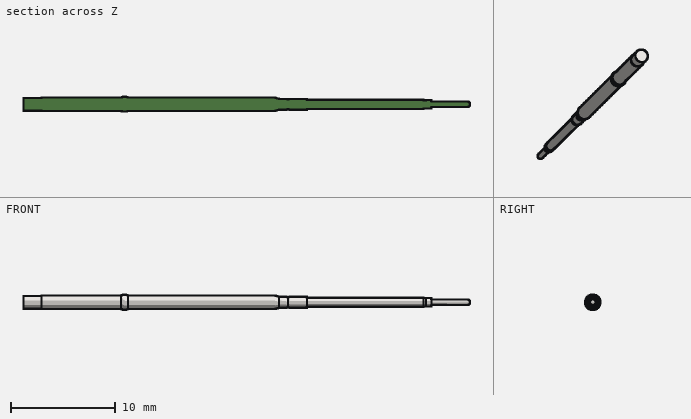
import cadquery as cq

TAIL_END = 1.75
RING_START = 9.40
RING_END = 10.06
BARREL_CHAMFER_START = 24.18
BARREL_END = 24.56
GROOVE_START = 25.28
GROOVE_END = 25.58
SLEEVE_END = 27.25
SHAFT_END = 38.46
COLLAR_START = 38.70
COLLAR_END = 39.20
OVERALL_LENGTH = 42.93

TAIL_DIAMETER = 1.25
BARREL_DIAMETER = 1.32
RING_DIAMETER = 1.49
BARREL_MOUTH_DIAMETER = 1.10
SLEEVE_DIAMETER = 1.06
GROOVE_DIAMETER = 0.98
SHAFT_DIAMETER = 0.91
NECK_DIAMETER = 0.82
COLLAR_DIAMETER = 0.86
TIP_DIAMETER = 0.56


def start_profile(start, diameter):
    """Begin a half profile in the XZ plane, rising from the axis to the given diameter."""
    return cq.Workplane("XZ").moveTo(start, 0).lineTo(start, diameter / 2)


def revolve_about_x(profile):
    """Close a half profile along the axis and turn it about the X axis."""
    return profile.close().revolve(360, (0, 0, 0), (1, 0, 0))


def make_cylinder(start, end, diameter):
    """Plain round section along X from start to end."""
    profile = start_profile(start, diameter).lineTo(end, diameter / 2).lineTo(end, 0)
    return revolve_about_x(profile)


def make_barrel():
    """Main barrel with a rounded press ring and a chamfered mouth."""
    radius = BARREL_DIAMETER / 2
    ring_middle = (RING_START + RING_END) / 2
    profile = (
        start_profile(TAIL_END, BARREL_DIAMETER)
        .lineTo(RING_START, radius)
        .threePointArc((ring_middle, RING_DIAMETER / 2), (RING_END, radius))
        .lineTo(BARREL_CHAMFER_START, radius)
        .lineTo(BARREL_END, BARREL_MOUTH_DIAMETER / 2)
        .lineTo(BARREL_END, 0)
    )
    return revolve_about_x(profile)


def make_sleeve():
    """Guide sleeve with a narrow V-groove around it."""
    radius = SLEEVE_DIAMETER / 2
    groove_middle = (GROOVE_START + GROOVE_END) / 2
    profile = (
        start_profile(BARREL_END, SLEEVE_DIAMETER)
        .lineTo(GROOVE_START, radius)
        .lineTo(groove_middle, GROOVE_DIAMETER / 2)
        .lineTo(GROOVE_END, radius)
        .lineTo(SLEEVE_END, radius)
        .lineTo(SLEEVE_END, 0)
    )
    return revolve_about_x(profile)


def make_plunger():
    """Plunger shaft, neck and collar."""
    shaft = make_cylinder(SLEEVE_END, SHAFT_END, SHAFT_DIAMETER)
    neck = make_cylinder(SHAFT_END, COLLAR_START, NECK_DIAMETER)
    collar = make_cylinder(COLLAR_START, COLLAR_END, COLLAR_DIAMETER)
    return shaft.union(neck).union(collar)


def make_tip():
    """Thin contact pin ending in a hemisphere."""
    radius = TIP_DIAMETER / 2
    profile = (
        start_profile(COLLAR_END, TIP_DIAMETER)
        .lineTo(OVERALL_LENGTH - radius, radius)
        .radiusArc((OVERALL_LENGTH, 0), radius)
    )
    return revolve_about_x(profile)


tail = make_cylinder(0, TAIL_END, TAIL_DIAMETER)
result = tail.union(make_barrel()).union(make_sleeve()).union(make_plunger()).union(make_tip())